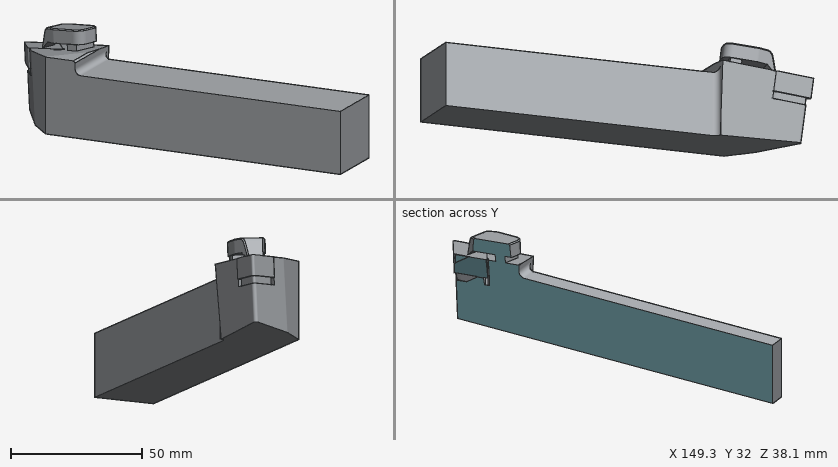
import cadquery as cq
import math

length = 149.3
shank_size = 25.1
head_end = 36.7
head_height = 30.6
facet_start = 24.2
facet_slope = 1.03
step_fillet = 2.4
step_chamfer = 0.7

tip_x, tip_y, tip_z = -0.64, 32.03, 25.1
tilt_x, tilt_y = 0.1, 0.096

back_edge_angle = -3.0
nose_angle = 55.0
insert_edge = 15.5
insert_thickness = 7.9
nose_radius = 0.7
shim_thickness = 2.8
shim_inset = 0.9
shim_nose_radius = 0.7
shim_side_radius = 3.7
holder_inset = 0.6
holder_radius = 1.0
facet_run = 10.5
facet_round = 2.2
relief_radius = 2.0
relief_setback = 1.8

clamp_x, clamp_y = 13.0, 23.7
clamp_angle = -11.0
clamp_length = 21.4
clamp_width = 12.2
clamp_nose_width = 6.1
clamp_flare = 8.2
flare_round = 2.2
clamp_radius = 3.6
clamp_top = 8.2
clamp_bottom = 2.5
clamp_chamfer = 0.5
nose_draft = 0.34
nose_round = 3.0
pad_length = 0.9
pad_ramp_end = 4.2
heel_start = 14.2
heel_end = 18.7
heel_width = 10.8
heel_depth = 1.5

big = 89.6

tip_plane = cq.Plane(
    origin=(tip_x, tip_y, tip_z),
    xDir=(1, 0, tilt_x),
    normal=(-tilt_x, tilt_y, 1),
)
corner_edges = cq.selectors.ParallelDirSelector(tip_plane.zDir)


def heading(angle, distance):
    turn = math.radians(angle)
    return distance * math.cos(turn), distance * math.sin(turn)


def rhombus(edge, inset=0.0):
    """Corners of the insert rhombus, every side moved inwards by the inset."""
    along_bisector = inset / math.sin(math.radians(nose_angle / 2))
    x, y = heading(back_edge_angle - nose_angle / 2, along_bisector)
    side = edge - 2 * inset / math.sin(math.radians(nose_angle))
    ax, ay = heading(back_edge_angle, side)
    bx, by = heading(back_edge_angle - nose_angle, side)
    return [(x, y), (x + ax, y + ay), (x + ax + bx, y + ay + by), (x + bx, y + by)]


def tilted_prism(points, top, depth):
    return cq.Workplane(tip_plane).workplane(offset=top).polyline(points).close().extrude(-depth)


def make_insert():
    plate = tilted_prism(rhombus(insert_edge), 0, insert_thickness)
    return plate.edges(corner_edges).fillet(nose_radius)


def make_shim():
    plate = tilted_prism(rhombus(insert_edge, shim_inset), -insert_thickness, shim_thickness)
    plate = plate.edges(corner_edges).edges("<X or >X").fillet(shim_nose_radius)
    for x, y in rhombus(insert_edge, shim_inset)[1::2]:
        middle = tip_plane.toWorldCoords((x, y, -insert_thickness - shim_thickness / 2))
        wide_corner = cq.selectors.NearestToPointSelector(middle.toTuple())
        plate = plate.edges(wide_corner).fillet(shim_side_radius)
    return plate


def make_pocket():
    """Insert seat and shim space: two walls meeting behind the insert, open towards the tip."""
    x, y = rhombus(insert_edge)[2]
    ax, ay = heading(back_edge_angle, big)
    bx, by = heading(back_edge_angle - nose_angle, big)
    seat = [(x, y), (x - ax, y - ay), (x - ax - bx, y - ay - by), (x - bx, y - by)]
    return tilted_prism(seat, big, big + insert_thickness + shim_thickness)


def make_relief():
    """Clearance hole at the rear corner of the seat."""
    x, y = rhombus(insert_edge)[2]
    back_x, back_y = heading(back_edge_angle, relief_setback)
    hole = cq.Workplane(tip_plane).workplane(offset=big).center(x - back_x, y - back_y).circle(relief_radius)
    return hole.extrude(-big - insert_thickness - shim_thickness)


def make_head():
    wedge = tilted_prism(rhombus(2 * big, holder_inset), 0, big)
    wedge = wedge.edges(corner_edges).edges("<X").fillet(holder_radius)
    plan_run = facet_start + big / 2
    plan = [
        (facet_start, 0),
        (head_end, 0),
        (head_end, big),
        (facet_start - plan_run, big),
        (facet_start - plan_run, plan_run * facet_slope),
    ]
    blank = cq.Workplane("XY").polyline(plan).close().extrude(head_height)
    blank = blank.edges(">X and >Z").chamfer(step_chamfer)
    head = blank.intersect(wedge)
    facet_edge = (facet_start - facet_run, facet_run * facet_slope, head_height / 2)
    return head.edges(cq.selectors.NearestToPointSelector(facet_edge)).fillet(facet_round)


def make_shank():
    block = cq.Workplane("XY").box(length - head_end, shank_size, shank_size, centered=False)
    return block.translate((head_end, 0, 0))


def step_fillet_outline(plane):
    end = head_end + step_fillet
    outline = cq.Workplane(plane).moveTo(head_end, 0).lineTo(end, 0).lineTo(end, shank_size)
    return outline.radiusArc((head_end, shank_size + step_fillet), step_fillet).close()


def make_step_fillets():
    """Concave blend from the step of the head to the top and the +Y side of the shank."""
    reach = shank_size + step_fillet
    upper = step_fillet_outline("XZ").extrude(-reach)
    lateral = step_fillet_outline("XY").extrude(reach)
    return upper.intersect(lateral)


def make_clamp():
    """Clamp with a flared nose, a pad pressing on the insert and a heel standing on the head."""
    rise = tilt_x * (clamp_x - tip_x) - tilt_y * (clamp_y - tip_y)
    ux, uy = heading(clamp_angle, 1)
    plane = cq.Plane(
        origin=(clamp_x, clamp_y, tip_z + rise),
        xDir=(ux, uy, tilt_x * ux - tilt_y * uy),
        normal=tip_plane.zDir.toTuple(),
    )
    half_nose, half = clamp_nose_width / 2, clamp_width / 2
    outline = [
        (0, -half_nose), (clamp_flare, -half), (clamp_length, -half),
        (clamp_length, half), (clamp_flare, half), (0, half_nose),
    ]
    body = cq.Workplane("XY").polyline(outline).close().extrude(clamp_top)
    body = body.edges("|Z and >X").fillet(clamp_radius)
    for flare_end in (-half, half):
        flare_edge = cq.selectors.NearestToPointSelector((clamp_flare, flare_end, clamp_top / 2))
        body = body.edges(flare_edge).fillet(flare_round)
    profile = [
        (0, 0), (pad_length, 0), (pad_ramp_end, clamp_bottom), (clamp_length, clamp_bottom),
        (clamp_length, clamp_top), (nose_draft * clamp_top, clamp_top),
    ]
    side = cq.Workplane("XZ").polyline(profile).close().extrude(half, both=True)
    body = body.intersect(side)
    body = body.faces(">Z").edges("<X").fillet(nose_round)
    body = body.faces(">Z").edges("not <X").chamfer(clamp_chamfer)
    heel = cq.Workplane("XY").box(
        heel_end - heel_start, heel_width, clamp_bottom + heel_depth, centered=(False, True, False)
    ).translate((heel_start, 0, -heel_depth))
    return cq.Workplane(body.union(heel).val().moved(cq.Location(plane)))


insert = make_insert()
holder = make_head().cut(make_pocket()).cut(make_relief()).union(make_shank()).union(make_step_fillets())
holder = holder.union(make_shim()).union(make_clamp()).cut(insert)

result = cq.Compound.makeCompound([holder.val(), insert.val()])